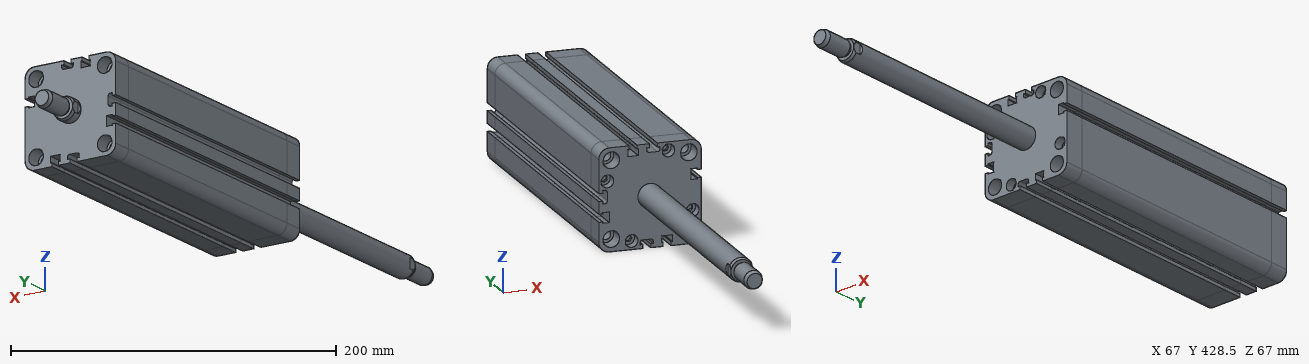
import cadquery as cq

total_length = 428.5
body_width = 67.0
body_corner_radius = 7.0
body_length = 205.0
cap_length = 14.0

rod_diameter = 16.0
rod_flat_width = 14.0
rod_flat_length = 6.0
rod_flat_ramp = 1.3
shoulder_chamfer_length = 2.0
shoulder_end_diameter = 14.0
thread_diameter = 12.0
thread_length = 21.5
thread_chamfer_length = 3.0
neck_diameter = 10.0
neck_length = 2.0
rear_rod_extension = 31.5

edge_slot_offset = 11.0
edge_slot_cavity = 7.0
edge_slot_lip = 2.5
edge_slot_depth = 7.0
middle_slot_offset = 2.0
middle_slot_cavity = 8.5
middle_slot_lip = 2.5
middle_slot_depth = 5.5
middle_slot_fillet = 1.5
slot_opening = 5.0

mount_offset = 25.3
mount_hole_diameter = 7.0
mount_bore_diameter = 10.5
mount_bore_depth = 10.5

screw_offset = 28.0
screw_side_offset = 12.0
screw_recess_diameter = 8.0
screw_recess_depth = 6.5
socket_size = 4.5
socket_depth = 2.0

rear_y = total_length / 2
front_y = -total_length / 2
body_rear_y = rear_y - rear_rod_extension
body_front_y = body_rear_y - body_length
half_width = body_width / 2
SIDE_ANGLES = {"top": 0, "left": 90, "bottom": 180, "right": 270}


def section(y):
    """Sketch plane across the rod at height y, with extrusion toward +Y."""
    return cq.Workplane(cq.Plane(origin=(0, y, 0), xDir=(-1, 0, 0), normal=(0, 1, 0)))


def turned(shape, angle):
    """Turn a shape about the rod axis, counter-clockwise as seen from -Y."""
    return shape.rotate((0, 0, 0), (0, 1, 0), -angle)


def box_in_top(offset, width, depth, start_y, length):
    """Straight cut in the top face, centred at x = offset."""
    return cq.Workplane("XY").box(width, length, depth).translate(
        (offset, start_y + length / 2, half_width - depth / 2)
    )


def edge_slot(start_y, length):
    opening = box_in_top(-edge_slot_offset, slot_opening, edge_slot_depth, start_y, length)
    cavity = box_in_top(-edge_slot_offset, edge_slot_cavity, edge_slot_depth, start_y, length)
    lips = box_in_top(-edge_slot_offset, edge_slot_cavity, edge_slot_lip, start_y, length)
    return opening.union(cavity.cut(lips))


def middle_slot(start_y, length):
    opening = box_in_top(middle_slot_offset, slot_opening, middle_slot_depth, start_y, length)
    cavity = box_in_top(middle_slot_offset, middle_slot_cavity, middle_slot_depth, start_y, length)
    lips = box_in_top(middle_slot_offset, middle_slot_cavity, middle_slot_lip, start_y, length)
    cavity = cavity.edges("|Y and <Z").fillet(middle_slot_fillet)
    return opening.union(cavity.cut(lips))


def slotted_block(start_y, length):
    """Rounded square block with two slots per side, but only the edge slot on +X."""
    block = section(start_y).rect(body_width, body_width).extrude(length)
    block = block.edges("|Y").fillet(body_corner_radius)
    for side, angle in SIDE_ANGLES.items():
        block = block.cut(turned(edge_slot(start_y, length), angle))
        if side != "right":
            block = block.cut(turned(middle_slot(start_y, length), angle))
    return block


def make_body():
    """Barrel between two end caps; the joints stay visible as seams."""
    barrel = slotted_block(body_front_y + cap_length, body_length - 2 * cap_length)
    front_cap = slotted_block(body_front_y, cap_length)
    rear_cap = slotted_block(body_rear_y - cap_length, cap_length)
    return barrel.union(front_cap, clean=False).union(rear_cap, clean=False)


def mount_holes():
    corners = [(x, z) for x in (-mount_offset, mount_offset) for z in (-mount_offset, mount_offset)]
    holes = section(body_front_y).pushPoints(corners).circle(mount_hole_diameter / 2).extrude(body_length)
    for bore_y in (body_front_y, body_rear_y - mount_bore_depth):
        bore = section(bore_y).pushPoints(corners).circle(mount_bore_diameter / 2).extrude(mount_bore_depth)
        holes = holes.union(bore)
    return holes


def screw_recess():
    centre = (-screw_side_offset, screw_offset)
    recess = section(body_front_y).center(*centre).circle(screw_recess_diameter / 2).extrude(screw_recess_depth)
    socket_y = body_front_y + screw_recess_depth
    socket = section(socket_y).center(*centre).polygon(6, socket_size).extrude(socket_depth)
    return recess.union(socket)


def rod_end():
    """Front half of the rod: threaded tip, neck and shoulder with two flats, up to mid-length."""
    thread_end_y = front_y + thread_length
    shoulder_y = thread_end_y + neck_length
    profile = [
        (0, front_y),
        (neck_diameter / 2, front_y),
        (thread_diameter / 2, front_y + thread_chamfer_length),
        (thread_diameter / 2, thread_end_y),
        (neck_diameter / 2, thread_end_y),
        (neck_diameter / 2, shoulder_y),
        (shoulder_end_diameter / 2, shoulder_y),
        (rod_diameter / 2, shoulder_y + shoulder_chamfer_length),
        (rod_diameter / 2, 0),
        (0, 0),
    ]
    rod = cq.Workplane("XY").polyline(profile).close().revolve(360, (0, 0, 0), (0, 1, 0))
    flat_x = rod_flat_width / 2
    flat_end_y = shoulder_y + rod_flat_length
    flat_cut = (
        cq.Workplane("XY")
        .polyline([
            (flat_x, shoulder_y),
            (flat_x, flat_end_y),
            (rod_diameter / 2, flat_end_y + rod_flat_ramp),
            (rod_diameter, flat_end_y + rod_flat_ramp),
            (rod_diameter, shoulder_y),
        ])
        .close()
        .extrude(rod_diameter, both=True)
    )
    return rod.cut(flat_cut).cut(flat_cut.mirror("YZ"))


body = make_body().cut(mount_holes(), clean=False)
for angle in SIDE_ANGLES.values():
    body = body.cut(turned(screw_recess(), angle), clean=False)
front_rod = rod_end()
result = body.union(front_rod, clean=False).union(front_rod.mirror("XZ"), clean=False)